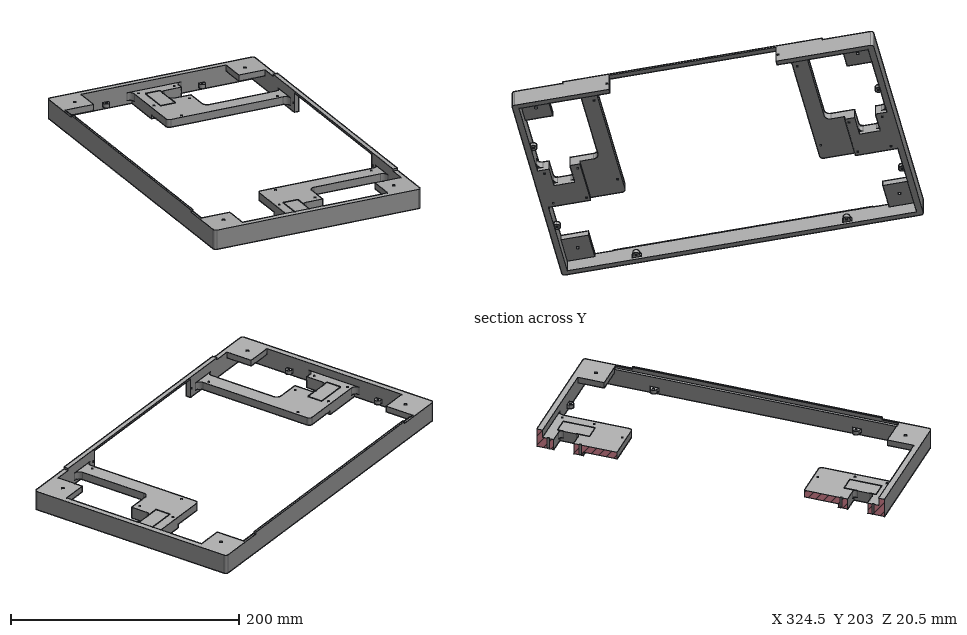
import cadquery as cq
length = 324.5
width = 203.0
height = 20.5
lip_rise = 2.0
frame_top = height - lip_rise
corner_radius = 2.5

side_wall = 5.5
back_wall = 4.5
front_wall = 4.5
lip_start = 45.8
front_lip = 2.0
ledge_drop = 2.0

block_x = 30.2
block_y = 30.2
block_thickness = 6.0
block_hole_inset = 18.0
block_hole = 2.5

window_start = 87.3
window_top = frame_top

bracket_top = 11.0
bracket_thickness = 7.5
stem_left = 60.7
stem_right = 75.0
foot_back = 79.2
foot_front = 122.7
slot_left = 16.0
slot_right = 34.5
slot_end = 99.0
bend_radius = 5.0
end_radius = 3.2
pad_left = 13.5
pad_right = 43.5
pad_front = 113.5
pad_drop = 0.5
small_hole = 1.6
bracket_holes = [(71.0, 13.0), (71.0, 107.0), (10.7, 83.7), (40.5, 83.7), (10.7, 118.8), (40.5, 118.8)]

wall_hole_x = 85.5
wall_hole_z = 8.5

lug_radius = 3.0
lug_height = 4.0
lug_bottom = 2.5
side_lug_reach = 5.0
side_lug_places = (54.5, 148.5)
front_lug_reach = 5.5
front_lug_place = 67.8
front_lug_flare = 1.3


def box(x0, x1, y0, y1, z0, z1):
    return cq.Workplane("XY").box(x1 - x0, y1 - y0, z1 - z0, centered=False).translate((x0, y0, z0))


def both_sides(body):
    """The body together with its mirror image across the middle of the length."""
    return body.union(body.mirror("YZ", (length / 2, 0, 0)))


def make_frame():
    frame = box(0, length, 0, width, 0, frame_top).edges("|Z").fillet(corner_radius)
    lips = box(lip_start, length - lip_start, 0, front_lip, 0, height)
    lips = lips.union(box(lip_start, length - lip_start, width - back_wall, width, 0, height))
    frame = frame.union(lips)
    frame = frame.cut(box(side_wall, length - side_wall, front_wall, width - back_wall, 0, height))
    frame = frame.cut(box(block_x, length - block_x, front_lip, front_wall, frame_top - ledge_drop, height))
    return frame.cut(box(window_start, length - window_start, width - back_wall, width, 0, window_top))


def make_blocks():
    z0 = frame_top - block_thickness
    front = box(corner_radius, block_x, front_lip, block_y, z0, frame_top)
    back = box(corner_radius, block_x, width - block_y, width - corner_radius, z0, frame_top)
    return front.union(back)


def make_bracket():
    z0 = bracket_top - bracket_thickness
    back = width - back_wall
    front = width - foot_front
    shoulder = width - foot_back
    slot_floor = width - slot_end
    r = bend_radius
    e = end_radius
    bracket = (
        cq.Workplane("XY").workplane(offset=z0)
        .moveTo(stem_left - r, back).lineTo(stem_right + r, back)
        .radiusArc((stem_right, back - r), -r)
        .lineTo(stem_right, front + e).radiusArc((stem_right - e, front), e)
        .lineTo(side_wall + r, front).radiusArc((side_wall, front - r), -r)
        .lineTo(side_wall, shoulder + r).radiusArc((side_wall + r, shoulder), -r)
        .lineTo(slot_left, shoulder)
        .lineTo(slot_left, slot_floor + e).radiusArc((slot_left + e, slot_floor), -e)
        .lineTo(slot_right - e, slot_floor).radiusArc((slot_right, slot_floor + e), -e)
        .lineTo(slot_right, shoulder)
        .lineTo(stem_left - r, shoulder).radiusArc((stem_left, shoulder + r), -r)
        .lineTo(stem_left, back - r).radiusArc((stem_left - r, back), -r)
        .close().extrude(bracket_thickness)
    )
    foot_step = box(side_wall, pad_right, front, shoulder, 0, z0)
    foot_step = foot_step.cut(box(slot_left, slot_right, slot_floor, shoulder, 0, z0))
    bracket = bracket.union(foot_step)
    bracket = bracket.cut(box(pad_left, pad_right, width - pad_front, slot_floor, bracket_top - pad_drop, bracket_top))
    holes = [(x, width - y) for x, y in bracket_holes]
    return bracket.cut(cq.Workplane("XY").pushPoints(holes).circle(small_hole / 2).extrude(height))


def make_lug(reach, flare):
    """Lug standing out along +X from a wall at X = 0, its base widened by the flare on both sides."""
    center = reach - lug_radius
    base = lug_radius + flare
    return (
        cq.Workplane("XY").workplane(offset=lug_bottom)
        .moveTo(0, -base).lineTo(center, -lug_radius)
        .threePointArc((reach, 0), (center, lug_radius))
        .lineTo(0, base).close().extrude(lug_height)
        .cut(cq.Workplane("XY").center(center, 0).circle(small_hole / 2).extrude(height))
    )


def make_lugs():
    front_lug = make_lug(front_lug_reach, front_lug_flare).rotate((0, 0, 0), (0, 0, 1), 90)
    lugs = front_lug.translate((front_lug_place, front_wall, 0))
    side_lug = make_lug(side_lug_reach, 0)
    for place in side_lug_places:
        lugs = lugs.union(side_lug.translate((side_wall, width - place, 0)))
    return lugs


def make_wall_holes():
    places = [(wall_hole_x, wall_hole_z), (length - wall_hole_x, wall_hole_z)]
    drill = cq.Workplane("XZ", origin=(0, width, 0)).pushPoints(places)
    return drill.circle(small_hole / 2).extrude(back_wall)


def make_block_holes():
    xs, ys = length - 2 * block_hole_inset, width - 2 * block_hole_inset
    return (
        cq.Workplane("XY").center(length / 2, width / 2).rect(xs, ys, forConstruction=True)
        .vertices().circle(block_hole / 2).extrude(height)
    )


result = make_frame().union(both_sides(make_blocks())).union(both_sides(make_bracket()))
result = result.union(both_sides(make_lugs())).cut(make_block_holes()).cut(make_wall_holes())